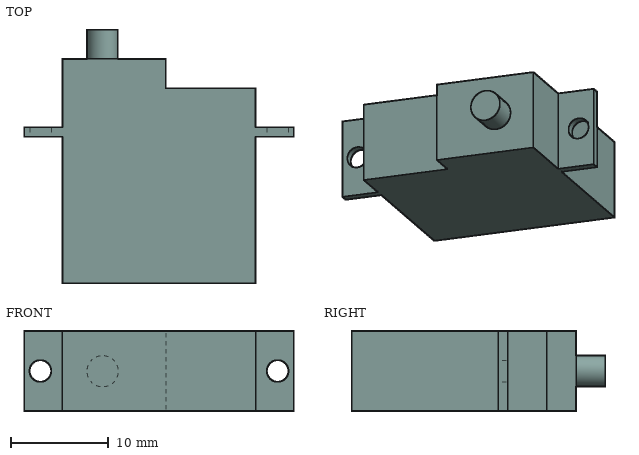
import cadquery as cq

body_width = 19.8
thickness = 8.2
case_length = 20.0

gearbox_width = 10.6
gearbox_height = 3.0

shaft_diameter = 3.2
shaft_length = 3.0
shaft_inset = thickness / 2

overall_width = 27.6
tab_thickness = 1.0
tab_rear_y = 15.0
hole_diameter = 2.2
hole_spacing = 24.3

body_left_x = -body_width / 2
gearbox_top_y = case_length + gearbox_height


def slab(width, length, center_x, rear_y):
    """Full-thickness block, centred on center_x and starting at rear_y."""
    return cq.Workplane("XY").box(width, length, thickness).translate((center_x, rear_y + length / 2, 0))


def make_body():
    """Stepped case: main block plus the raised gearbox end."""
    case = slab(body_width, case_length, 0, 0)
    gearbox = slab(gearbox_width, gearbox_top_y, body_left_x + gearbox_width / 2, 0)
    return case.union(gearbox)


def make_tab(side):
    """Mounting tab with a through hole; side is -1 or +1 along X."""
    tab_reach = (overall_width - body_width) / 2
    tab = slab(tab_reach, tab_thickness, side * (body_width + tab_reach) / 2, tab_rear_y)
    hole = make_cylinder(hole_diameter, tab_thickness, side * hole_spacing / 2, tab_rear_y)
    return tab.cut(hole)


def make_cylinder(diameter, length, center_x, rear_y):
    """Cylinder along +Y at mid-thickness, starting at rear_y."""
    base = cq.Workplane("XZ", origin=(center_x, rear_y, 0))
    return base.circle(diameter / 2).extrude(-length)


def make_shaft():
    """Output shaft standing on the gearbox end."""
    return make_cylinder(shaft_diameter, shaft_length, body_left_x + shaft_inset, gearbox_top_y)


result = make_body().union(make_shaft())
for tab_side in (-1, 1):
    result = result.union(make_tab(tab_side))